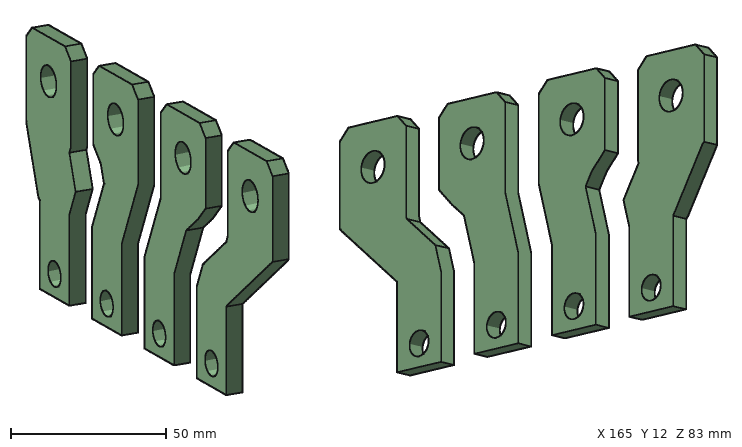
import cadquery as cq
import math

total_width = 165.0
total_depth = 12.0
total_height = 83.0

thickness = total_depth / 2
head_width = 30.0
tail_width = 20.0
corner_chamfer = 4.0
width_step = head_width - tail_width

lower_bend_z = 30.0
upper_bend_z = 49.2

head_hole_diameter = 10.5
head_hole_z = total_height - head_width / 2
tail_hole_diameter = 8.5
tail_hole_z = 8.0

outer_strap_x = 0.0
inner_strap_x = 44.9
outer_tail_shift = tail_width
outer_notch_top_z = 48.2
inner_shoulder_z = 55.1


def bent_sheet(width):
    """Sheet of constant thickness, bent twice so that its tail lies in front of its head."""
    bend_angle = math.atan2(thickness, upper_bend_z - lower_bend_z)
    miter_rise = thickness * math.tan(bend_angle / 2)
    return (
        cq.Workplane("YZ")
        .moveTo(0, 0)
        .lineTo(thickness, 0)
        .lineTo(thickness, lower_bend_z)
        .lineTo(total_depth, upper_bend_z)
        .lineTo(total_depth, total_height)
        .lineTo(thickness, total_height)
        .lineTo(thickness, upper_bend_z + miter_rise)
        .lineTo(0, lower_bend_z + miter_rise)
        .close()
        .extrude(width)
    )


def head_top_points():
    """Chamfered top edge of the head, from right to left."""
    return [
        (head_width, total_height - corner_chamfer),
        (head_width - corner_chamfer, total_height),
        (corner_chamfer, total_height),
        (0, total_height - corner_chamfer),
    ]


def drilled_strap(outline, tail_x, strap_x):
    """Trim the bent sheet to an XZ outline, drill both holes and move it into place."""
    width = max(x for x, z in outline)
    blank = cq.Workplane("XZ").polyline(outline).close().extrude(-total_depth)
    head_hole = (
        cq.Workplane("XZ")
        .center(head_width / 2, head_hole_z)
        .circle(head_hole_diameter / 2)
        .extrude(-total_depth)
    )
    tail_hole = (
        cq.Workplane("XZ")
        .center(tail_x + tail_width / 2, tail_hole_z)
        .circle(tail_hole_diameter / 2)
        .extrude(-total_depth)
    )
    strap = bent_sheet(width).intersect(blank).cut(head_hole).cut(tail_hole)
    return strap.translate((strap_x, 0, 0))


def outer_strap():
    """Left outer strap, whose tail is shifted past the right edge of its head."""
    tail_left = outer_tail_shift
    tail_right = tail_left + tail_width
    overhang = tail_right - head_width
    outline = [
        (tail_left, 0),
        (tail_right, 0),
        (tail_right, outer_notch_top_z - overhang),
        (head_width, outer_notch_top_z),
        *head_top_points(),
        (0, lower_bend_z + tail_left),
        (tail_left, lower_bend_z),
    ]
    return drilled_strap(outline, tail_left, outer_strap_x)


def inner_strap():
    """Left inner strap, whose tail is flush with the right edge of its head."""
    tail_left = width_step
    outline = [
        (tail_left, 0),
        (head_width, 0),
        *head_top_points(),
        (0, inner_shoulder_z),
        (tail_left, inner_shoulder_z - tail_left),
    ]
    return drilled_strap(outline, tail_left, inner_strap_x)


straps = []
for left_strap in (outer_strap(), inner_strap()):
    right_strap = left_strap.mirror("YZ", (total_width / 2, 0, 0))
    straps.append(left_strap.val())
    straps.append(right_strap.val())

result = cq.Compound.makeCompound(straps)